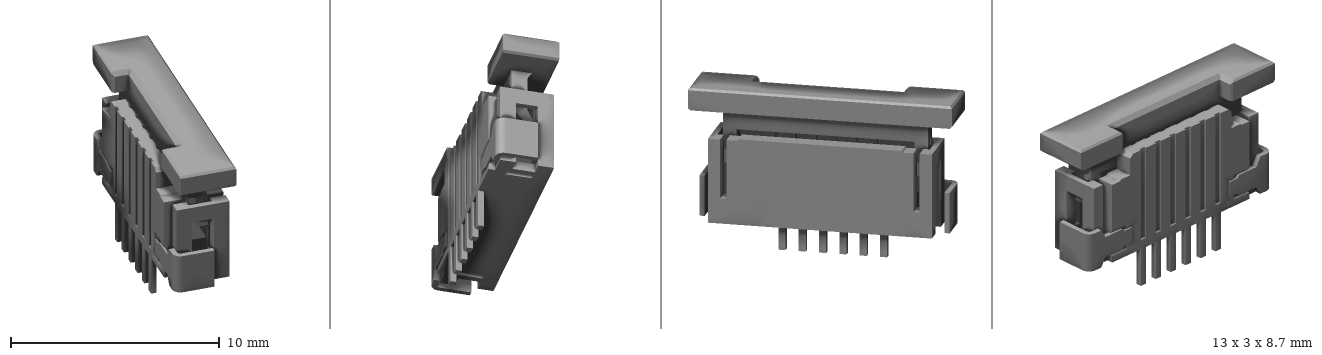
import cadquery as cq


cap_length = 13.0
cap_front = 0.2
part_depth = 3.0
cap_bottom = 5.59
cap_top = 6.7
cap_chamfer = 0.1
notch_half = 3.59
notch_bevel = 0.21
notch_corner = 0.12

plate_front = 1.01
plate_back = 1.82
plate_half = 5.05
plate_bottom = 4.42
flare_depth = 0.21
flare_height = 0.3
arm_inner = 4.38
hook_top = 3.39
hook_bottom = 2.81
hook_front = 1.61
hook_back = 2.13
bump_front = 1.1
bump_back = 1.43
bump_reach = 0.08
bump_tip_reach = 0.04
bump_height = 0.4

housing_half = 5.51
end_wall_front = 0.32
end_wall_inner = 4.91
body_half = 4.6
shoulder_height = 4.22
step_height = 4.3
step_half = 4.02
step_run = 0.06
front_wall_back = 0.91
cavity_back = 2.21
cavity_floor = 1.72
rear_sill_height = 1.27
front_sill_height = 0.47
window_front = 1.1
window_top = 3.4
arm_recess_half = 5.23
crest_half = 3.39
crest_height = 5.4
crest_chamfer = 0.2

pin_count = 6
pin_pitch = 1.0
pin_width = 0.35
pin_depth = 0.29
pin_top = 0.51
pin_length = 2.0
front_groove_depth = 0.12
rear_groove_depth = 0.25

clip_outer = 6.16
clip_height = 2.03
clip_leg_end = 2.02
clip_thickness = 0.26
clip_radius = 0.43
clip_mid = clip_height / 2
clip_shoulder_outer = 5.33
clip_shoulder_inner = 5.06
clip_neck_half = 0.55
clip_step_outer = 3.93
clip_step_inner = 3.77
clip_tip = 3.28
clip_tip_half = 0.4
pocket_inner = 2.85
pocket_half = 0.79
deep_pocket_inner = 3.59
deep_pocket_half = 0.66
pocket_depth = 0.08
deep_pocket_depth = 0.13


def block(x_range, y_range, z_range):
    """Box between the given limits."""
    size = [high - low for low, high in (x_range, y_range, z_range)]
    corner = (x_range[0], y_range[0], z_range[0])
    return cq.Workplane("XY").box(*size, centered=False).translate(corner)


def front_prism(points, y_start, y_end):
    """Prism along Y with an outline given in X and Z."""
    prism = cq.Workplane("XZ").polyline(points).close().extrude(y_start - y_end)
    return prism.translate((0, y_start, 0))


def both_sides(shape):
    """The shape joined with its mirror image across the middle plane."""
    return shape.union(shape.mirror("YZ"))


def make_cap():
    cap = block((-cap_length / 2, cap_length / 2), (cap_front, part_depth), (cap_bottom, cap_top))
    cap = cap.faces(">Z").edges().chamfer(cap_chamfer)
    cap = cap.faces("<Z").edges("<X or >X").chamfer(cap_chamfer)
    flare_start = cap_front + notch_corner
    mouth_half = notch_half + notch_corner
    notch = (
        cq.Workplane("XY").workplane(offset=cap_bottom)
        .moveTo(-mouth_half, cap_front)
        .lineTo(-notch_half, flare_start)
        .lineTo(-notch_half, plate_front)
        .lineTo(notch_half, plate_front)
        .lineTo(notch_half, flare_start)
        .lineTo(mouth_half, cap_front)
        .close().extrude(cap_top - cap_bottom)
    )
    bevel = (
        cq.Workplane("XY").workplane(offset=cap_top - notch_bevel)
        .rect(2 * notch_half, 2 * plate_front)
        .workplane(offset=notch_bevel)
        .rect(2 * (notch_half + notch_bevel), 2 * (plate_front + notch_bevel))
        .loft(combine=True)
    )
    return cap.cut(notch).cut(bevel)


def make_slider():
    plate = block((-plate_half, plate_half), (plate_front, plate_back), (plate_bottom, cap_bottom))
    flare = (
        cq.Workplane("YZ")
        .moveTo(plate_back, cap_bottom - flare_height)
        .lineTo(plate_back + flare_depth, cap_bottom)
        .lineTo(plate_back, cap_bottom)
        .close().extrude(plate_half, both=True)
    )
    arm = (
        cq.Workplane("YZ").workplane(offset=arm_inner)
        .moveTo(plate_front, plate_bottom)
        .lineTo(plate_front, hook_top)
        .lineTo(hook_front, hook_bottom)
        .lineTo(hook_back, hook_bottom)
        .lineTo(plate_back, hook_top)
        .lineTo(plate_back, plate_bottom)
        .close().extrude(plate_half - arm_inner)
    )
    bump_top = plate_bottom + bump_tip_reach
    bump = front_prism(
        [
            (plate_half, bump_top - bump_height),
            (plate_half + bump_reach, shoulder_height),
            (plate_half + bump_tip_reach, bump_top),
            (plate_half, bump_top),
        ],
        bump_front,
        bump_back,
    )
    return make_cap().union(plate).union(flare).union(both_sides(arm.union(bump)))


def stepped_wall(y_start, y_end):
    """Wall whose top rises slightly towards the middle."""
    step_foot = step_half + step_run
    outline = [
        (-body_half, 0),
        (-body_half, shoulder_height),
        (-step_foot, shoulder_height),
        (-step_half, step_height),
        (step_half, step_height),
        (step_foot, shoulder_height),
        (body_half, shoulder_height),
        (body_half, 0),
    ]
    return front_prism(outline, y_start, y_end)


def make_housing():
    front_wall = stepped_wall(0, front_wall_back)
    rear_wall = stepped_wall(cavity_back, part_depth)
    floor = block((-arm_inner, arm_inner), (front_wall_back, cavity_back), (0, cavity_floor))
    crest = block((-crest_half, crest_half), (0, front_wall_back), (0, crest_height))
    crest = crest.faces(">Z").edges("<X or >X or >Y").chamfer(crest_chamfer)
    end_wall = block(
        (end_wall_inner, housing_half), (end_wall_front, part_depth), (0, shoulder_height)
    )
    window = block((end_wall_inner, housing_half), (window_front, cavity_back), (0, window_top))
    arm_recess = block(
        (end_wall_inner, arm_recess_half), (plate_front, cavity_back), (window_top, shoulder_height)
    )
    end_wall = end_wall.cut(window).cut(arm_recess)
    slot = (body_half, end_wall_inner)
    front_sill = block(slot, (end_wall_front, cavity_back), (0, front_sill_height))
    rear_sill = block(slot, (cavity_back, part_depth), (0, rear_sill_height))
    ends = both_sides(end_wall.union(front_sill).union(rear_sill))
    return front_wall.union(rear_wall).union(floor).union(crest).union(ends)


def make_clip_pocket():
    """Tapered recess ending at the clip tip, with a deeper step under the clip neck."""
    taper_run = clip_tip - pocket_inner
    half_at_floor = pocket_half - taper_run
    far_end = body_half + taper_run
    tapered = (
        cq.Workplane("XZ")
        .center((pocket_inner + far_end) / 2, clip_mid)
        .rect(far_end - pocket_inner, 2 * pocket_half)
        .workplane(offset=-pocket_depth)
        .rect(far_end - pocket_inner - 2 * taper_run, 2 * half_at_floor)
        .loft(combine=True)
    )
    deep = block(
        (deep_pocket_inner, body_half),
        (0, deep_pocket_depth),
        (clip_mid - deep_pocket_half, clip_mid + deep_pocket_half),
    )
    return tapered.union(deep)


def make_clip():
    """Bent strip: a side leg and a front tongue that narrows towards its tip."""
    bend = (
        cq.Workplane("XY")
        .rect(2 * clip_outer, 2 * clip_leg_end)
        .extrude(clip_height)
        .translate((0, clip_leg_end, 0))
        .edges("|Z").fillet(clip_radius)
    )
    inner_half = clip_outer - clip_thickness
    hollow = (
        cq.Workplane("XY")
        .rect(2 * inner_half, 2 * (clip_leg_end - clip_thickness))
        .extrude(clip_height)
        .translate((0, clip_leg_end, 0))
        .edges("|Z").fillet(clip_radius - clip_thickness)
    )
    upper_edge = [
        (clip_tip, clip_tip_half),
        (clip_step_inner, clip_tip_half),
        (clip_step_outer, clip_neck_half),
        (clip_shoulder_inner, clip_neck_half),
        (clip_shoulder_outer, clip_mid),
        (clip_outer, clip_mid),
    ]
    outline = [(x, clip_mid + rise) for x, rise in upper_edge]
    outline += [(x, clip_mid - rise) for x, rise in reversed(upper_edge)]
    return bend.cut(hollow).intersect(front_prism(outline, 0, clip_leg_end))


housing = make_housing().cut(both_sides(make_clip_pocket()))
pins = cq.Workplane("XY")
for index in range(pin_count):
    x_middle = (index - (pin_count - 1) / 2) * pin_pitch
    x_range = (x_middle - pin_width / 2, x_middle + pin_width / 2)
    front_groove = block(x_range, (0, front_groove_depth), (pin_top, crest_height))
    rear_groove = block(
        x_range, (front_wall_back - rear_groove_depth, front_wall_back), (cavity_floor, crest_height)
    )
    housing = housing.cut(front_groove).cut(rear_groove)
    pins = pins.union(block(x_range, (0, pin_depth), (-pin_length, pin_top)))

result = housing.union(pins).union(make_slider()).union(both_sides(make_clip()))